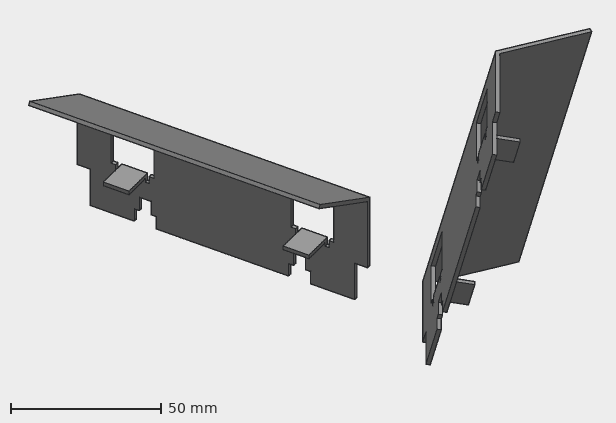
import cadquery as cq
import math

thickness = 1.5
plate_width = 113.0
foot_width = 103.0
shoulder_height = 15.0

overall_depth = 32.84
overall_height = 60.35
hood_angle = math.radians(28.0)
hood_run = overall_depth - thickness
hood_rise = hood_run * math.tan(hood_angle)
bend_height = overall_height - hood_rise - thickness * math.cos(hood_angle)

window_offset = 35.0
window_width = 16.6
window_bottom = 20.6
window_top = 38
tab_width = 10.0
tab_reach = 12
relief_width = 1.5
relief_bottom = 17.75

notch_offset = 30.0
notch_mouth_width = 8.5
notch_mouth_height = 5.1
notch_neck_width = 4.6
notch_height = 10.6

front_y = -thickness


def plate_block(width, bottom, top, center_x=0.0):
    """Block spanning the plate thickness, centred on center_x."""
    height = top - bottom
    block = cq.Workplane("XY").box(width, thickness, height, centered=(True, False, False))
    return block.translate((center_x, front_y, bottom))


def make_plate():
    upper = plate_block(plate_width, shoulder_height, bend_height)
    foot = plate_block(foot_width, 0.0, shoulder_height)
    return upper.union(foot)


def make_hood():
    """Hood and its mitred bend, drawn as a YZ profile and extruded along X."""
    sheet_offset_y = thickness * math.sin(hood_angle)
    outer_corner_height = bend_height + thickness * math.tan((math.pi / 2 - hood_angle) / 2)
    profile = (
        cq.Workplane("YZ", origin=(-plate_width / 2, 0, 0))
        .moveTo(front_y, bend_height)
        .lineTo(0, bend_height)
        .lineTo(0, outer_corner_height)
        .lineTo(-overall_depth + sheet_offset_y, overall_height)
        .lineTo(-overall_depth, bend_height + hood_rise)
        .close()
    )
    return profile.extrude(plate_width)


def make_window(center_x):
    """Window opening with a relief slot on each side of the tab root."""
    opening = plate_block(window_width, window_bottom, window_top, center_x)
    relief_offset = (tab_width + relief_width) / 2
    for side in (-1, 1):
        relief_x = center_x + side * relief_offset
        opening = opening.union(plate_block(relief_width, relief_bottom, window_bottom, relief_x))
    return opening


def make_tab(center_x):
    tab = cq.Workplane("XY").box(tab_width, tab_reach, thickness, centered=(True, False, False))
    return tab.translate((center_x, -tab_reach, window_bottom - thickness))


def make_notch(center_x):
    mouth = plate_block(notch_mouth_width, 0.0, notch_mouth_height, center_x)
    neck = plate_block(notch_neck_width, notch_mouth_height, notch_height, center_x)
    return mouth.union(neck)


part = make_plate().union(make_hood())
for side in (-1, 1):
    part = part.cut(make_window(side * window_offset))
    part = part.union(make_tab(side * window_offset))
    part = part.cut(make_notch(side * notch_offset))

result = part